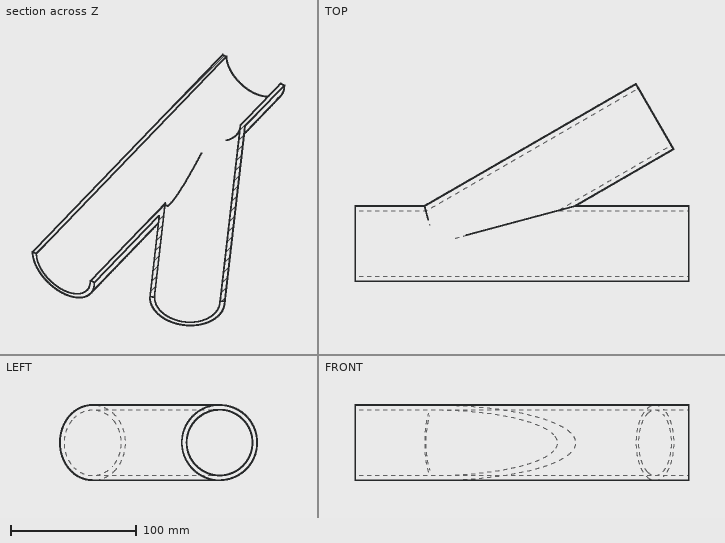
import cadquery as cq
import math

outer_diameter = 60.325
bore_diameter = 52.5

inlet_length = 63.5
outlet_length = 203.2
run_length = inlet_length + outlet_length

branch_length = outlet_length
branch_angle = 30.0

outlet_mitre_angle = branch_angle / 2
inlet_mitre_angle = (branch_angle + 180) / 2

branch_overlap = outer_diameter
mitre_reach = 2 * run_length


def pipe(start, length):
    """Open pipe along +X that begins at the given X position."""
    section = cq.Workplane("YZ", origin=(start, 0, 0)).circle(outer_diameter / 2).circle(bore_diameter / 2)
    return section.extrude(length)


def polar_point(radius, angle):
    """Point in the XY plane at the given distance from the origin and angle in degrees."""
    return (radius * math.cos(math.radians(angle)), radius * math.sin(math.radians(angle)))


def branch_sector():
    """Right-angled block between the two mitre planes, the space nearer to the branch than to the run."""
    outline = cq.Workplane("XY").polyline(
        [
            (0, 0),
            polar_point(mitre_reach, outlet_mitre_angle),
            polar_point(mitre_reach * math.sqrt(2), (outlet_mitre_angle + inlet_mitre_angle) / 2),
            polar_point(mitre_reach, inlet_mitre_angle),
        ]
    )
    return outline.close().extrude(outer_diameter, both=True)


def mitred_run():
    """Full-length run with the branch sector cut away."""
    return pipe(-inlet_length, run_length).cut(branch_sector())


def mitred_branch():
    """Branch pipe trimmed to its sector, so it meets the run along the mitre planes."""
    straight = pipe(-branch_overlap, branch_overlap + branch_length)
    return straight.rotate((0, 0, 0), (0, 0, 1), branch_angle).intersect(branch_sector())


result = mitred_run().union(mitred_branch())